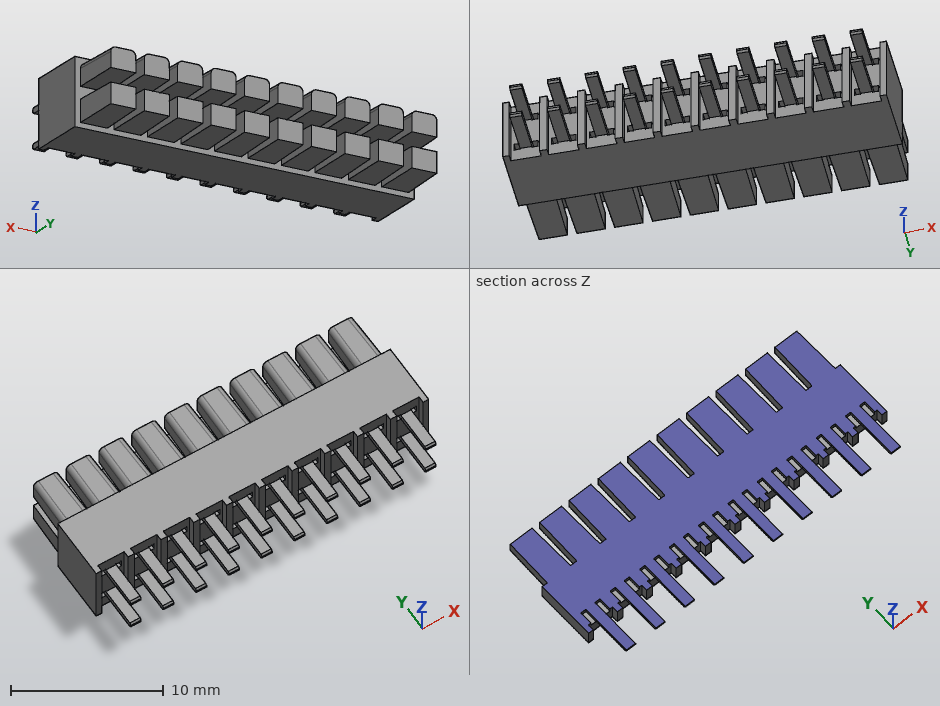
import cadquery as cq
import math

body_length = 25.78
body_depth = 4.7
body_height = 4.95
total_depth = 11.05

columns = 10
end_wall = 0.45
recess_width = 2.04
column_pitch = (body_length - 2 * end_wall - recess_width) / (columns - 1)
post_row_pitch = column_pitch
pin_row_pitch = 2.53

recess_depth = 0.5

pocket_span = 1.62
pocket_height = 0.52
pocket_depth = 1.0

pin_width = 0.8
pin_thickness = 0.4
pin_bevel = 0.13

post_length = 3.8
post_width = 2.04
post_height = 1.65
post_draft = 1.0
post_round = 0.39

post_end_y = total_depth / 2
body_back_y = post_end_y - post_length
body_front_y = body_back_y - body_depth
recess_floor_y = body_front_y + recess_depth
pocket_floor_y = recess_floor_y + pocket_depth
pin_tip_y = -total_depth / 2

column_xs = [(i - (columns - 1) / 2) * column_pitch for i in range(columns)]
lower_row = -1
upper_row = 1


def block(width, height, x, z, y_start, y_end):
    """Box centred on (x, z) that spans y_start to y_end."""
    depth = y_end - y_start
    return cq.Workplane("XY").box(width, depth, height).translate((x, y_start + depth / 2, z))


def pin(x, z):
    """Flat pin from the pocket floor to a tip bevelled above and below."""
    blank = block(pin_width, pin_thickness, x, z, pin_tip_y, pocket_floor_y)
    return blank.faces("<Y").edges("|X").chamfer(pin_bevel)


def post(x, row):
    """Tapered post; those of the upper row have rounded top edges."""
    shrink = 2 * post_length * math.tan(math.radians(post_draft))
    blank = (
        cq.Workplane("XZ", origin=(x, body_back_y, row * post_row_pitch / 2))
        .rect(post_width, post_height)
        .workplane(offset=-post_length)
        .rect(post_width - shrink, post_height - shrink)
        .loft(ruled=True)
    )
    if row == upper_row:
        blank = blank.faces(">Z").edges("not(|X)").fillet(post_round)
    return blank


def side_pockets(x, z):
    """The pair of pockets to the left and right of one pin."""
    width = (pocket_span - pin_width) / 2
    offset = (pin_width + width) / 2
    left = block(width, pocket_height, x - offset, z, recess_floor_y, pocket_floor_y)
    return left.union(left.translate((2 * offset, 0, 0)))


result = block(body_length, body_height, 0, 0, body_front_y, body_back_y)

for x in column_xs:
    result = result.cut(block(recess_width, body_height, x, 0, body_front_y, recess_floor_y))
    for row in (lower_row, upper_row):
        pin_z = row * pin_row_pitch / 2
        result = result.cut(side_pockets(x, pin_z)).union(pin(x, pin_z)).union(post(x, row))